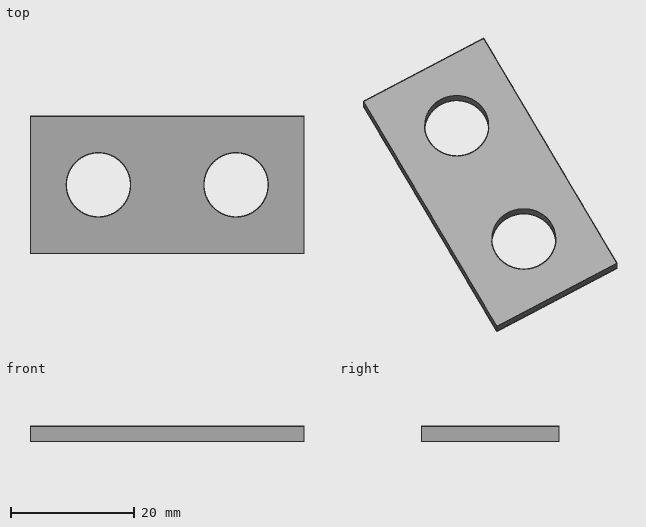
import cadquery as cq

length = 44.45
width = 22.35
thickness = 2.5

hole_diameter = 10.4
hole_spacing = width
hole_count = 2

plate = cq.Workplane("XY").box(length, width, thickness)

result = (
    plate.faces(">Z")
    .workplane()
    .rarray(hole_spacing, width, hole_count, 1)
    .hole(hole_diameter)
)